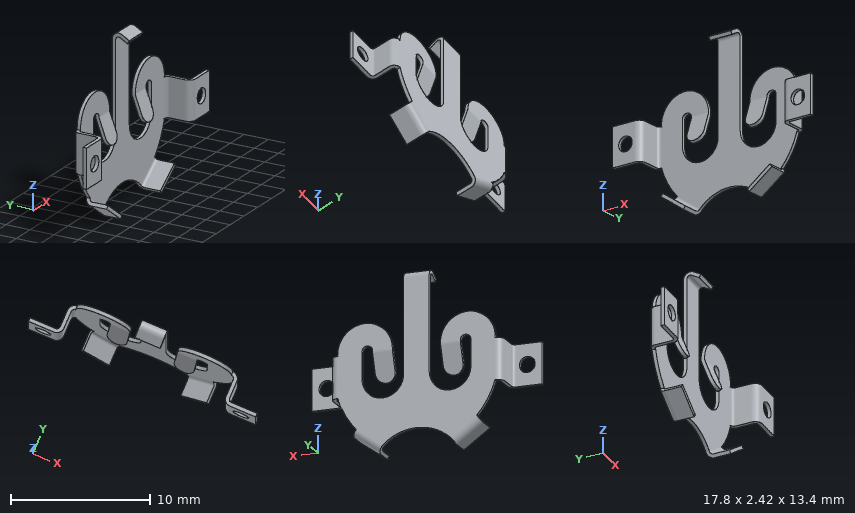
import cadquery as cq
import math

thickness = 0.3
inner_bend_radius = 0.25
outer_bend_radius = inner_bend_radius + thickness
middle_bend_radius = inner_bend_radius + thickness / 2

overall_width = 17.78
overall_depth = 2.42
top_z = 7.43

plate_half_width = 6.08
stem_half_width = 1.0
lobe_radius = 2.12
lobe_center_z = 1.72
slot_radius = 1.6
slot_center_z = -0.34
finger_gap = 0.8
flank_radius = 6.38
flank_end = (-4.68, -4.1)
scallop_corner = (-2.63, -5.57)
scallop_top_z = -4.5

tab_height = 3.2
hole_diameter = 1.2
hole_x = 7.73

finger_bend_angle = 20
finger_bend_z = 1.7
finger_length = 2.28
flange_depth = 1.85
hook_bend_angle = 120
hook_lip = 0.7

slot_right_x = -stem_half_width
slot_left_x = slot_right_x - 2 * slot_radius
finger_left_x = slot_left_x + finger_gap
finger_right_x = -plate_half_width + 2 * lobe_radius
finger_width = finger_right_x - finger_left_x
hook_start_z = top_z - outer_bend_radius


def bent_strip(start, heading, normal, width, bends):
    """Sheet strip from the plate's mid-plane; bends lists (signed angle, straight length after it).

    Positive angles turn left about the normal; the strip is centred across its width.
    """
    plane = cq.Plane(origin=start, xDir=heading, normal=normal)
    x, y, angle = 0, 0, 0
    solid = None
    for turn, length in bends:
        side = math.copysign(1, turn)
        center_x = x - side * middle_bend_radius * math.sin(angle)
        center_y = y + side * middle_bend_radius * math.cos(angle)
        end_angle = angle + math.radians(turn)
        middle_angle = (angle + end_angle) / 2

        def on_bend(radius, direction):
            return (
                center_x + side * radius * math.sin(direction),
                center_y - side * radius * math.cos(direction),
            )

        bend = (
            cq.Workplane(plane)
            .moveTo(*on_bend(outer_bend_radius, angle))
            .threePointArc(on_bend(outer_bend_radius, middle_angle), on_bend(outer_bend_radius, end_angle))
            .lineTo(*on_bend(inner_bend_radius, end_angle))
            .threePointArc(on_bend(inner_bend_radius, middle_angle), on_bend(inner_bend_radius, angle))
            .close()
            .extrude(width / 2, both=True)
        )
        x, y = on_bend(middle_bend_radius, end_angle)
        angle = end_angle
        leg = (
            cq.Workplane(plane)
            .center(x, y)
            .transformed(rotate=(0, 0, math.degrees(angle)))
            .center(length / 2, 0)
            .rect(length, thickness)
            .extrude(width / 2, both=True)
        )
        x += length * math.cos(angle)
        y += length * math.sin(angle)
        solid = bend.union(leg) if solid is None else solid.union(bend).union(leg)
    return solid


def half_plate():
    """Flat left half of the plate, up to the start of each bend."""
    gap_radius = finger_gap / 2
    gap_x = slot_left_x + gap_radius
    scallop_drop = scallop_top_z - scallop_corner[1]
    scallop_radius = (scallop_corner[0] ** 2 + scallop_drop**2) / (2 * scallop_drop)
    return (
        cq.Workplane("XZ")
        .moveTo(0, hook_start_z)
        .lineTo(slot_right_x, hook_start_z)
        .lineTo(slot_right_x, slot_center_z)
        .threePointArc(
            (slot_right_x - slot_radius, slot_center_z - slot_radius),
            (slot_left_x, slot_center_z),
        )
        .lineTo(slot_left_x, finger_bend_z)
        .threePointArc((gap_x, finger_bend_z + gap_radius), (finger_left_x, finger_bend_z))
        .lineTo(finger_right_x, finger_bend_z)
        .lineTo(finger_right_x, lobe_center_z)
        .threePointArc(
            (finger_right_x - lobe_radius, lobe_center_z + lobe_radius),
            (-plate_half_width, lobe_center_z),
        )
        .lineTo(-plate_half_width, -tab_height / 2)
        .radiusArc(flank_end, -flank_radius)
        .lineTo(*scallop_corner)
        .radiusArc((0, scallop_top_z), scallop_radius)
        .close()
        .extrude(thickness)
    )


def mounting_tab():
    """Z-bent tab with its mounting hole."""
    wall = overall_depth - 2 * outer_bend_radius
    foot = overall_width / 2 - plate_half_width - 2 * middle_bend_radius
    tab = bent_strip(
        (-plate_half_width, -thickness / 2, 0), (-1, 0, 0), (0, 0, 1), tab_height, [(90, wall), (-90, foot)]
    )
    hole = (
        cq.Workplane("XZ")
        .center(-hole_x, 0)
        .circle(hole_diameter / 2)
        .extrude(overall_depth)
    )
    return tab.cut(hole)


def spring_finger():
    """Finger leaning forward, with a fully rounded tip."""
    middle_x = (finger_left_x + finger_right_x) / 2
    finger = bent_strip(
        (middle_x, -thickness / 2, finger_bend_z),
        (0, 0, -1),
        (-1, 0, 0),
        finger_width,
        [(finger_bend_angle, finger_length)],
    )
    lean = math.radians(finger_bend_angle)
    tip_radius = finger_width / 2
    straight = finger_length - tip_radius
    tip_center = (
        middle_x,
        -thickness / 2 - middle_bend_radius * (1 - math.cos(lean)) - straight * math.sin(lean),
        finger_bend_z - middle_bend_radius * math.sin(lean) - straight * math.cos(lean),
    )
    tip_plane = cq.Plane(origin=tip_center, xDir=(1, 0, 0), normal=(0, -math.cos(lean), math.sin(lean)))
    tip_blank = (
        cq.Workplane(tip_plane)
        .center(0, -tip_radius)
        .rect(finger_width, 2 * tip_radius)
        .extrude(thickness, both=True)
    )
    round_tip = cq.Workplane(tip_plane).circle(tip_radius).extrude(thickness, both=True)
    return finger.cut(tip_blank.cut(round_tip))


def lower_flange():
    """Flange folded forward along the slanted lower edge."""
    run_x = scallop_corner[0] - flank_end[0]
    run_z = scallop_corner[1] - flank_end[1]
    middle = ((flank_end[0] + scallop_corner[0]) / 2, -thickness / 2, (flank_end[1] + scallop_corner[1]) / 2)
    return bent_strip(
        middle,
        (run_z, 0, -run_x),
        (-run_x, 0, -run_z),
        math.hypot(run_x, run_z),
        [(90, flange_depth - outer_bend_radius)],
    )


def top_hook():
    """Hook at the top of the central stem."""
    return bent_strip(
        (0, -thickness / 2, hook_start_z),
        (0, 0, 1),
        (1, 0, 0),
        2 * stem_half_width,
        [(hook_bend_angle, hook_lip)],
    )


half = half_plate().union(mounting_tab()).union(spring_finger()).union(lower_flange())
result = half.union(half.mirror("YZ")).union(top_hook())